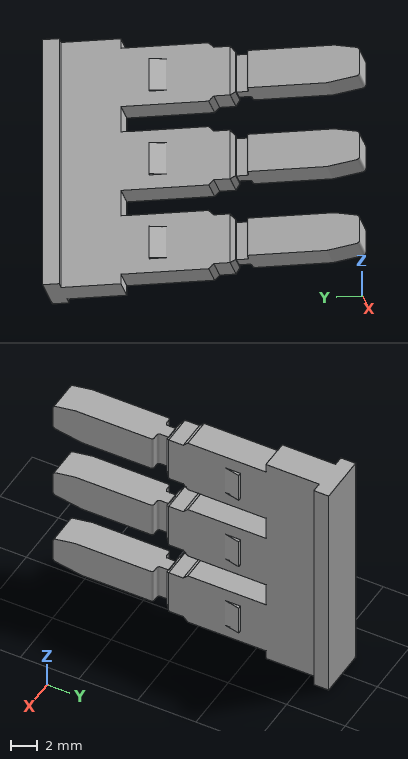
import cadquery as cq
import math


flange_width = 4.2
total_length = 24.0
total_height = 19.6

flange_depth = 1.28
wall_depth = 5.82
shoulder_start = 12.5
tine_end = 14.49
blade_start = 15.43
clip_start = 8.0
clip_end = 9.28

tine_count = 3
tine_pitch = 6.7
body_width = 2.54
tine_height = 4.68
shoulder_step = 0.385
tine_chamfer = 0.36

blade_width = 2.7
blade_height = 2.99
neck_width = 1.13
neck_fillet = 0.2
top_taper_length = 1.92
bottom_taper_length = 2.5
tip_taper_angle = 10.0
tip_fillet = 0.3

clip_height = 2.5
clip_protrusion = 0.28

back_y = total_length / 2
tip_y = back_y - total_length
half_body = body_width / 2


def y_at(distance):
    """Y position at a distance from the back face."""
    return back_y - distance


def block(width, start, end, height, z_centre):
    """Box centred on X, spanning two distances from the back face."""
    box = cq.Workplane("XY").box(width, end - start, height)
    return box.translate((0, y_at((start + end) / 2), z_centre))


def make_tine(z_centre):
    """Wide tine root followed by a narrower end with its front edges chamfered."""
    half_height = tine_height / 2
    end_half_height = half_height - shoulder_step
    shoulder_end = shoulder_start + shoulder_step
    root = (
        cq.Workplane("YZ", origin=(0, 0, z_centre))
        .moveTo(y_at(wall_depth), -half_height)
        .lineTo(y_at(shoulder_start), -half_height)
        .lineTo(y_at(shoulder_end), -end_half_height)
        .lineTo(y_at(tine_end), -end_half_height)
        .lineTo(y_at(tine_end), end_half_height)
        .lineTo(y_at(shoulder_end), end_half_height)
        .lineTo(y_at(shoulder_start), half_height)
        .lineTo(y_at(wall_depth), half_height)
        .close()
        .extrude(half_body, both=True)
    )
    return root.faces("<Y").chamfer(tine_chamfer)


def make_blade(z_centre):
    """Flat blade on a narrow neck, tapering more from below than above to a rounded tip."""
    bottom = z_centre - blade_height / 2
    top = z_centre + blade_height / 2
    slope = math.tan(math.radians(tip_taper_angle))
    tip_bottom = bottom + bottom_taper_length * slope
    tip_top = top - top_taper_length * slope

    neck = block(neck_width, tine_end, blade_start, blade_height, z_centre)
    blade = block(blade_width, blade_start, total_length, blade_height, z_centre)
    blade = blade.edges("|Z and >Y").fillet(neck_fillet)
    blade = blade.union(neck)
    inner_corners = cq.selectors.BoxSelector(
        (-neck_width, y_at(blade_start) - neck_fillet / 2, bottom),
        (neck_width, y_at(blade_start) + neck_fillet / 2, top),
    )
    blade = blade.edges("|Z").edges(inner_corners).fillet(neck_fillet)

    profile = (
        cq.Workplane("YZ")
        .moveTo(y_at(tine_end), bottom)
        .lineTo(tip_y + bottom_taper_length, bottom)
        .lineTo(tip_y, tip_bottom)
        .lineTo(tip_y, tip_top)
        .lineTo(tip_y + top_taper_length, top)
        .lineTo(y_at(tine_end), top)
        .close()
        .extrude(blade_width, both=True)
        .faces("<Y")
        .edges("|X")
        .fillet(tip_fillet)
    )
    return blade.intersect(profile)


def make_clip(z_centre):
    """Pair of snap wedges: widest toward the back, running out flush toward the tip."""
    half_back = half_body + clip_protrusion
    return (
        cq.Workplane("XY", origin=(0, 0, z_centre - clip_height / 2))
        .moveTo(-half_back, y_at(clip_start))
        .lineTo(half_back, y_at(clip_start))
        .lineTo(half_body, y_at(clip_end))
        .lineTo(-half_body, y_at(clip_end))
        .close()
        .extrude(clip_height)
    )


flange = block(flange_width, 0, flange_depth, total_height, 0)
wall = block(body_width, 0, wall_depth, total_height, 0)
result = flange.union(wall)

for index in range(tine_count):
    tine_z = (index - (tine_count - 1) / 2) * tine_pitch
    result = result.union(make_tine(tine_z))
    result = result.union(make_blade(tine_z))
    result = result.union(make_clip(tine_z))